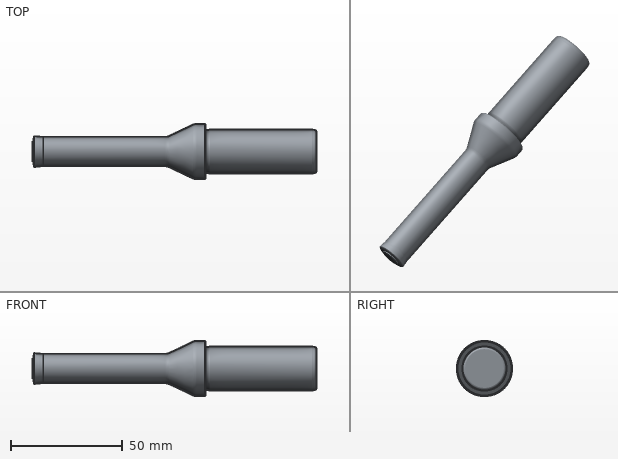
import cadquery as cq
import math

overall_length = 128.0
neck_end_x = 4.8
stem_end_x = 60.0
flange_back_x = 78.0
relief_end_x = 79.0
shank_start_x = 80.0
tail_start_x = 125.8
tail_edge_x = 126.6

dimple_radius = 2.2
dimple_depth = 0.2
dimple_floor_radius = 0.3
pad_flat_radius = 3.6
pad_radius = 4.45
pad_bevel = 0.05
face_x = 0.35
face_bevel_x = 0.55
face_bevel_radius = 6.0
rim_bevel_x = 0.7
rim_bevel_radius = 6.7
rim_x = 0.95
rim_radius = 7.0

taper_end_x = 3.2
taper_end_radius = 6.8
neck_middle_x = 4.2
neck_middle_radius = 6.67
neck_end_radius = 6.68

stem_radius = 13.4 / 2
flange_radius = 25.0 / 2
relief_radius = 19.5 / 2
shank_radius = 20.0 / 2
flange_chamfer = 0.4
cone_angle = math.radians(25.5)
cone_blend_radius = 4.0

tail_edge_radius = 9.85
tail_arc_x = 127.6
tail_arc_radius = 9.45
tail_end_radius = 8.7


def revolve_about_x(profile):
    """Close an (x, radius) profile along the X axis and turn it into a solid."""
    return profile.close().revolve(360, (0, 0, 0), (1, 0, 0))


def build_head():
    """Working head, from the front tip to the start of the stem."""
    profile = (
        cq.Workplane("XY")
        .moveTo(dimple_depth, 0)
        .lineTo(dimple_depth, dimple_floor_radius)
        .lineTo(0, dimple_radius)
        .lineTo(0, pad_flat_radius)
        .lineTo(pad_bevel, pad_radius)
        .lineTo(face_x, pad_radius)
        .lineTo(face_bevel_x, face_bevel_radius)
        .lineTo(rim_bevel_x, rim_bevel_radius)
        .lineTo(rim_x, rim_radius)
        .lineTo(taper_end_x, taper_end_radius)
        .threePointArc((neck_middle_x, neck_middle_radius), (neck_end_x, neck_end_radius))
        .lineTo(neck_end_x, 0)
    )
    return revolve_about_x(profile)


def build_holder():
    """Stem, conical transition, flange and shank behind the head."""
    blend_length = cone_blend_radius * math.sin(cone_angle)
    blend_rise = cone_blend_radius * (1 - math.cos(cone_angle))
    cone_rise = flange_radius - stem_radius - 2 * blend_rise
    cone_start_x = stem_end_x + blend_length
    cone_end_x = cone_start_x + cone_rise / math.tan(cone_angle)
    flange_front_x = cone_end_x + blend_length

    profile = (
        cq.Workplane("XY")
        .moveTo(neck_end_x, 0)
        .lineTo(neck_end_x, stem_radius)
        .lineTo(stem_end_x, stem_radius)
        .tangentArcPoint((cone_start_x, stem_radius + blend_rise), relative=False)
        .lineTo(cone_end_x, flange_radius - blend_rise)
        .tangentArcPoint((flange_front_x, flange_radius), relative=False)
        .lineTo(flange_back_x - flange_chamfer, flange_radius)
        .lineTo(flange_back_x, flange_radius - flange_chamfer)
        .lineTo(flange_back_x, relief_radius)
        .lineTo(relief_end_x, relief_radius)
        .lineTo(shank_start_x, shank_radius)
        .lineTo(tail_start_x, shank_radius)
        .lineTo(tail_edge_x, tail_edge_radius)
        .threePointArc((tail_arc_x, tail_arc_radius), (overall_length, tail_end_radius))
        .lineTo(overall_length, 0)
    )
    return revolve_about_x(profile)


head = build_head()
holder = build_holder()

result = cq.Compound.makeCompound([head.val(), holder.val()])